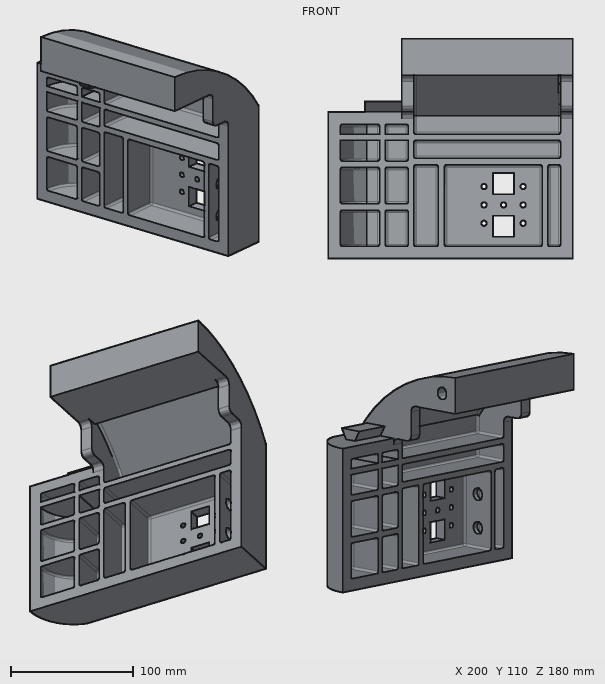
import cadquery as cq
import math

body_length = 200.0
body_height = 120.0
body_depth = 40.0
wall = 10.0
corner_width = 30.0
floor_y = body_depth - wall

hood_left = 60.0
hood_reach = 70.0
hood_top = 180.0
hood_lip_bottom = 150.0
hood_step_y = -20.0
hood_fillet = 5.0
cavity_front_y = -15.0

pocket_fillet = 2.0
column_edges = [(wall, 42.0), (46.5, 65.5)]
column_rows = [(wall, 39.8), (44.8, 74.8), (79.8, body_height - wall)]
cross_rib_bottom = 96.8
cross_rib_top = 101.8
bay_left = 70.0
bay_right = body_length - wall
bay_top = 76.8
narrow_bay = (bay_left, 90.0)
main_bay = (95.0, 175.0)
end_bay = (179.5, bay_right)
shelf_slot_bottom = 82.0

panel_x = 143.5
panel_z = 44.0
window_width = 17.0
window_height = 17.0
window_offset_z = 17.5
screw_diameter = 4.2
screw_pitch_x = 16.0
screw_pitch_z = 15.0

side_hole_diameter = 10.0
pin_depth = 20.0
pin_y = -55.0
pin_z = 165.0
cable_y = 15.0
cable_heights = [26.8, 54.8]

key_length = 30.0
key_top_width = 20.0
key_base_width = 10.0
key_y = 20.0
key_height = (key_top_width - key_base_width) / 2 * math.tan(math.radians(60))

end_radius = (corner_width**2 + body_depth**2) / (2 * corner_width)
hood_rise = hood_top - body_height
hood_span = hood_reach + body_depth
hood_radius = (hood_rise**2 + hood_span**2) / (2 * hood_rise)
hood_center_z = hood_top - hood_radius


def box(x_range, y_range, z_range):
    """Axis-aligned block between the given limits."""
    size = [high - low for low, high in (x_range, y_range, z_range)]
    corner = (x_range[0], y_range[0], z_range[0])
    return cq.Workplane("XY").box(*size, centered=False).translate(corner)


def end_arc_point(radius, y):
    """Point at a given Y on a circle concentric with the rounded left end."""
    return end_radius - math.sqrt(radius**2 - y**2), y


def hood_arc_point(radius, y):
    """(Y, Z) point at a given Y on a circle concentric with the hood skin."""
    return y, hood_center_z + math.sqrt(radius**2 - (y + hood_reach) ** 2)


def make_body():
    return (
        cq.Workplane("XY")
        .moveTo(0, 0)
        .threePointArc(end_arc_point(end_radius, body_depth / 2), (corner_width, body_depth))
        .lineTo(body_length, body_depth)
        .lineTo(body_length, 0)
        .close()
        .extrude(body_height)
    )


def make_hood():
    """Curved hood with a stepped, rounded underside blending into the body face."""
    r = hood_fillet
    bulge = r * (1 - math.sqrt(0.5))
    return (
        cq.Workplane("YZ", origin=(hood_left, 0, 0))
        .moveTo(body_depth, body_height)
        .threePointArc(hood_arc_point(hood_radius, (body_depth - hood_reach) / 2), (-hood_reach, hood_top))
        .lineTo(-hood_reach, hood_lip_bottom)
        .lineTo(hood_step_y - r, hood_lip_bottom)
        .threePointArc((hood_step_y - bulge, hood_lip_bottom - bulge), (hood_step_y, hood_lip_bottom - r))
        .lineTo(hood_step_y, body_height + r)
        .threePointArc((hood_step_y + bulge, body_height + bulge), (hood_step_y + r, body_height))
        .lineTo(-r, body_height)
        .threePointArc((-bulge, body_height - bulge), (0, body_height - r))
        .lineTo(body_depth, body_height - r)
        .close()
        .extrude(body_length - hood_left)
        .cut(box((0, body_length), (0, body_depth), (0, body_height)))
    )


def make_key():
    return (
        cq.Workplane("YZ", origin=(hood_left - key_length, 0, body_height))
        .moveTo(key_y - key_base_width / 2, 0)
        .lineTo(key_y + key_base_width / 2, 0)
        .lineTo(key_y + key_top_width / 2, key_height)
        .lineTo(key_y - key_top_width / 2, key_height)
        .close()
        .extrude(key_length)
    )


def pocket(x_range, z_range):
    """Rectangular compartment with rounded inner edges."""
    return box(x_range, (0, floor_y), z_range).faces(">Y or <X or >X").edges("not <Y").fillet(pocket_fillet)


def curved_pocket(x_range, z_range):
    """Compartment whose floor follows the rounded left end."""
    inner_radius = end_radius - wall
    return (
        cq.Workplane("XY", origin=(0, 0, z_range[0]))
        .moveTo(x_range[0], 0)
        .threePointArc(end_arc_point(inner_radius, floor_y / 2), end_arc_point(inner_radius, floor_y))
        .lineTo(x_range[1], floor_y)
        .lineTo(x_range[1], 0)
        .close()
        .extrude(z_range[1] - z_range[0])
        .edges("(<Z or >Z or >X) and (not <Y)")
        .fillet(pocket_fillet)
    )


def hood_pocket():
    """Top bay that runs up into the hood below its skin and opens through its step."""
    inner_radius = hood_radius - wall
    cavity = (
        cq.Workplane("YZ", origin=(bay_left, 0, 0))
        .moveTo(cavity_front_y, cross_rib_top)
        .lineTo(floor_y, cross_rib_top)
        .lineTo(*hood_arc_point(inner_radius, floor_y))
        .threePointArc(
            hood_arc_point(inner_radius, (floor_y + cavity_front_y) / 2),
            hood_arc_point(inner_radius, cavity_front_y),
        )
        .close()
        .extrude(bay_right - bay_left)
        .edges("(<X or >X or <Z) and (not <Y)")
        .fillet(pocket_fillet)
    )
    opening = box(
        (bay_left, bay_right),
        (hood_step_y - hood_fillet, cavity_front_y),
        (cross_rib_top, hood_lip_bottom),
    )
    return cavity.union(opening)


def window(z):
    """Rectangular opening through the back, centered on the panel at height Z."""
    half_width = window_width / 2
    half_height = window_height / 2
    return box(
        (panel_x - half_width, panel_x + half_width), (0, body_depth), (z - half_height, z + half_height)
    )


def screw_hole(x, z):
    return cq.Workplane("XZ", origin=(x, 0, z)).circle(screw_diameter / 2).extrude(-body_depth)


def side_hole(start, y, z, depth):
    """Round hole running along +X from the given start point."""
    return cq.Workplane("YZ", origin=(start, y, z)).circle(side_hole_diameter / 2).extrude(depth)


result = make_body().union(make_hood()).union(make_key())

cross_rib = box((0, bay_left), (0, floor_y), (cross_rib_bottom, cross_rib_top))
for row in column_rows:
    result = result.cut(curved_pocket(column_edges[0], row).cut(cross_rib))
    result = result.cut(pocket(column_edges[1], row).cut(cross_rib))
for bay in (narrow_bay, main_bay, end_bay):
    result = result.cut(pocket(bay, (wall, bay_top)))
result = result.cut(pocket((bay_left, bay_right), (shelf_slot_bottom, cross_rib_bottom)))
result = result.cut(hood_pocket())

for side in (-1, 1):
    result = result.cut(window(panel_z + side * window_offset_z))
    for row in (-1, 0, 1):
        result = result.cut(screw_hole(panel_x + side * screw_pitch_x, panel_z + row * screw_pitch_z))
result = result.cut(screw_hole(panel_x, panel_z))

result = result.cut(side_hole(hood_left, pin_y, pin_z, pin_depth))
for z in cable_heights:
    result = result.cut(side_hole(main_bay[1], cable_y, z, end_bay[0] - main_bay[1]))